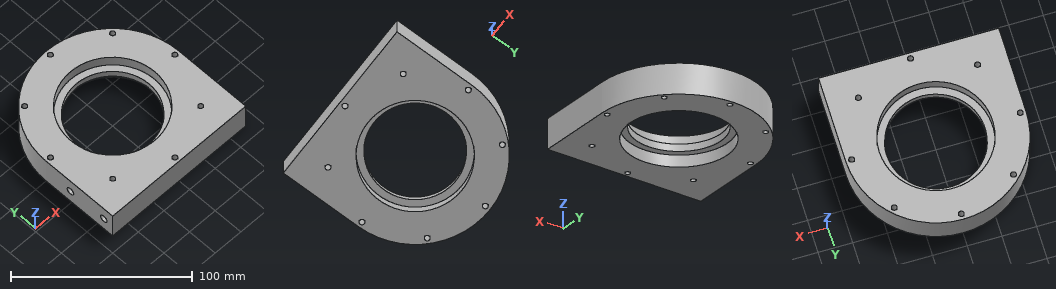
import cadquery as cq

width = 104.0
thickness = 19.5
outer_radius = width / 2

recess_diameter = 65.3
recess_depth = 7.5
bore_diameter = 56.6

bolt_count = 8
bolt_circle_diameter = 97.1
bolt_hole_diameter = 3.2

side_hole_diameter = 5.0
side_hole_depth = 12.5
side_hole_spacing = 26.0
side_hole_edge_distance = 7.0


def make_body():
    """Plate with a square front (-Y) half and a semicircular rear (+Y) half."""
    return (
        cq.Workplane("XY")
        .moveTo(-outer_radius, -outer_radius)
        .lineTo(outer_radius, -outer_radius)
        .lineTo(outer_radius, 0)
        .threePointArc((0, outer_radius), (-outer_radius, 0))
        .close()
        .extrude(thickness)
    )


def cut_stepped_bore(body):
    """Through bore with equal wider recesses at top and bottom, leaving a lip between them."""
    bore = cq.Workplane("XY").circle(bore_diameter / 2).extrude(thickness)
    body = body.cut(bore)
    for base_z in (0, thickness - recess_depth):
        recess = (
            cq.Workplane("XY", origin=(0, 0, base_z))
            .circle(recess_diameter / 2)
            .extrude(recess_depth)
        )
        body = body.cut(recess)
    return body


def cut_bolt_holes(body):
    """Ring of through holes around the bore."""
    holes = (
        cq.Workplane("XY")
        .polarArray(bolt_circle_diameter / 2, 0, 360, bolt_count)
        .circle(bolt_hole_diameter / 2)
        .extrude(thickness)
    )
    return body.cut(holes)


def cut_side_holes(body):
    """Pair of blind holes in the flat -X side, at mid thickness."""
    first_y = -outer_radius + side_hole_edge_distance
    for y in (first_y, first_y + side_hole_spacing):
        hole = (
            cq.Workplane("YZ", origin=(-outer_radius, y, thickness / 2))
            .circle(side_hole_diameter / 2)
            .extrude(side_hole_depth)
        )
        body = body.cut(hole)
    return body


result = cut_side_holes(cut_bolt_holes(cut_stepped_bore(make_body())))